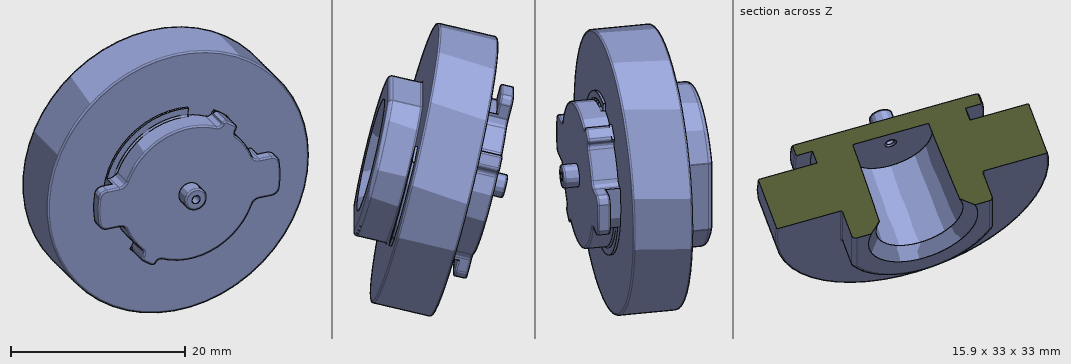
import cadquery as cq
import math


disk_radius = 16.5
disk_thickness = 7.0
edge_round = 0.2

boss_radius = 9.5
boss_height = 4.0
boss_flat_distance = 8.5
boss_rim_round = 0.5

bore_radius = 5.25
bore_floor_radius = 5.0
bore_mouth_radius = 6.6
bore_depth = 12.0

hub_radius = 8.5
hub_height = 3.1
shoulder_radius = 9.5
lug_radius = 11.5
lug_width = 5.0
lug_thickness = 1.5
lug_corner_round = 1.0
lug_root_round = 1.0

stop_width = 2.0
stop_angle = 34.0
stop_root_round = 0.6
stop_corner_round = 0.4

ledge_thickness = 0.3
ledge_round = 0.2
ledge_start_angle = -7.0

pin_radius = 1.35
pin_length = 1.8
pin_hole_radius = 0.5
pin_hole_chamfer = 0.2

arrow_mid_radius = 13.25
arrow_half_width = 0.5
arrow_head_half_width = 0.78
arrow_tip_angle = 28.0
arrow_head_angle = 20.0
arrow_height = 0.3

hub_end = disk_thickness + hub_height
bore_floor = bore_depth - boss_height
pin_end = hub_end + pin_length


def cylinder(x_start, length, radius):
    return cq.Workplane("YZ", origin=(x_start, 0, 0)).circle(radius).extrude(length)


def turned(profile):
    """Solid of revolution about the part axis from (X, radius) points."""
    return cq.Workplane("XY").polyline(profile).close().revolve(360, (0, 0, 0), (1, 0, 0))


def polar(radius, degrees):
    """Point (Y, Z) at an angle measured from -Z towards +Y."""
    angle = math.radians(degrees)
    return (radius * math.sin(angle), -radius * math.cos(angle))


def turned_half_way(solid):
    """The same solid rotated by half a turn about the part axis."""
    return solid.rotate((0, 0, 0), (1, 0, 0), 180)


def axial_edges_at_radius(body, radius):
    """Edges parallel to X that lie at the given distance from the part axis."""
    tolerance = 0.01
    return body.edges("|X").filter(
        lambda edge: abs(math.hypot(edge.Center().y, edge.Center().z) - radius) < tolerance
    )


def belongs_to_stop(edge):
    """True for an edge further from the XY plane than the lugs reach."""
    return abs(edge.Center().z) > lug_width


def make_disk():
    return cylinder(0, disk_thickness, disk_radius).edges().fillet(edge_round)


def make_boss():
    flats = cq.Workplane("XY").box(4 * boss_height, 2 * boss_flat_distance, 4 * boss_radius)
    boss = cylinder(-boss_height, boss_height, boss_radius).intersect(flats)
    boss = boss.edges("|X").fillet(edge_round)
    return boss.faces("<X").edges().fillet(boss_rim_round)


def join_boss(disk, boss):
    """Join the boss to the disk and round the corner between them."""
    joined = disk.union(boss)
    root_zone = cq.selectors.BoxSelector(
        (-edge_round / 2, -boss_radius - edge_round, -boss_radius - edge_round),
        (edge_round / 2, boss_radius + edge_round, boss_radius + edge_round),
        boundingbox=True,
    )
    return joined.edges(root_zone).fillet(edge_round)


def make_bore():
    mouth_x = -boss_height
    cone_end = mouth_x + bore_mouth_radius - bore_radius
    return turned([
        (mouth_x, 0),
        (mouth_x, bore_mouth_radius),
        (cone_end, bore_radius),
        (bore_floor, bore_floor_radius),
        (bore_floor, 0),
    ])


def make_stop(x_start, length):
    """One radial bar reaching out from the part axis to the shoulder radius."""
    stop = (
        cq.Workplane("YZ", origin=(x_start, 0, 0))
        .center(0, shoulder_radius / 2)
        .rect(stop_width, shoulder_radius)
        .extrude(length)
        .rotate((0, 0, 0), (1, 0, 0), -stop_angle)
    )
    return stop.intersect(cylinder(x_start, length, shoulder_radius))


def make_lug_stems():
    stems = cq.Workplane("YZ", origin=(disk_thickness, 0, 0))
    stems = stems.rect(2 * lug_radius, lug_width).extrude(hub_height)
    return stems.intersect(cylinder(disk_thickness, hub_height, shoulder_radius))


def make_lugs():
    lug_base = hub_end - lug_thickness
    bar = cq.Workplane("YZ", origin=(lug_base, 0, 0))
    bar = bar.rect(3 * lug_radius, lug_width).extrude(lug_thickness)
    lugs = bar.intersect(cylinder(lug_base, lug_thickness, lug_radius))
    lugs = lugs.edges("|X").fillet(lug_corner_round)
    return lugs.faces("<X").edges().fillet(edge_round)


def make_hub():
    hub = cylinder(disk_thickness, hub_height, hub_radius).union(make_lug_stems())
    hub = axial_edges_at_radius(hub, hub_radius).fillet(lug_root_round)

    stop = make_stop(disk_thickness, hub_height)
    hub = hub.union(stop).union(turned_half_way(stop))
    hub = axial_edges_at_radius(hub, hub_radius).filter(belongs_to_stop).fillet(stop_root_round)
    hub = axial_edges_at_radius(hub, shoulder_radius).filter(belongs_to_stop).fillet(stop_corner_round)

    hub = hub.union(make_lugs())
    hub = hub.faces(">X").edges().fillet(edge_round)

    foot = make_stop(disk_thickness, ledge_thickness)
    return hub.union(foot).union(turned_half_way(foot))


def make_ledge():
    """Ledge from just past +Z round to the -Y lug stem, with a rounded inner corner to the hub."""
    ledge_top = disk_thickness + ledge_thickness
    overlap = 0.5
    end_angle = math.degrees(math.acos(lug_width / 2 / shoulder_radius))
    sweep = end_angle - ledge_start_angle
    profile = (
        cq.Workplane("XY")
        .moveTo(disk_thickness, hub_radius - overlap)
        .lineTo(disk_thickness, shoulder_radius)
        .lineTo(ledge_top, shoulder_radius)
        .lineTo(ledge_top, hub_radius + ledge_round)
        .radiusArc((ledge_top + ledge_round, hub_radius), -ledge_round)
        .lineTo(ledge_top + ledge_round, hub_radius - overlap)
        .close()
    )
    ledge = profile.revolve(sweep, (0, 0, 0), (1, 0, 0))
    return ledge.rotate((0, 0, 0), (1, 0, 0), 90 + ledge_start_angle)


def make_pin():
    return cylinder(hub_end, pin_length, pin_radius).faces(">X").edges().fillet(edge_round)


def make_pin_hole():
    """Hole from the bore floor through the pin, chamfered at the bore floor."""
    return turned([
        (bore_floor, 0),
        (bore_floor, pin_hole_radius + pin_hole_chamfer),
        (bore_floor + pin_hole_chamfer, pin_hole_radius),
        (pin_end, pin_hole_radius),
        (pin_end, 0),
    ])


def make_arrow():
    inner = arrow_mid_radius - arrow_half_width
    outer = arrow_mid_radius + arrow_half_width
    head_inner = arrow_mid_radius - arrow_head_half_width
    head_outer = arrow_mid_radius + arrow_head_half_width
    return (
        cq.Workplane("YZ", origin=(-arrow_height, 0, 0))
        .moveTo(*polar(inner, -arrow_head_angle))
        .threePointArc(polar(inner, 0), polar(inner, arrow_head_angle))
        .lineTo(*polar(head_inner, arrow_head_angle))
        .lineTo(*polar(arrow_mid_radius, arrow_tip_angle))
        .lineTo(*polar(head_outer, arrow_head_angle))
        .lineTo(*polar(outer, arrow_head_angle))
        .threePointArc(polar(outer, 0), polar(outer, -arrow_head_angle))
        .lineTo(*polar(head_outer, -arrow_head_angle))
        .lineTo(*polar(arrow_mid_radius, -arrow_tip_angle))
        .lineTo(*polar(head_inner, -arrow_head_angle))
        .close()
        .extrude(2 * arrow_height)
    )


ledge = make_ledge()
result = join_boss(make_disk(), make_boss())
for solid in (make_hub(), ledge, turned_half_way(ledge), make_pin(), make_arrow()):
    result = result.union(solid, clean=False)
for hollow in (make_bore(), make_pin_hole()):
    result = result.cut(hollow, clean=False)